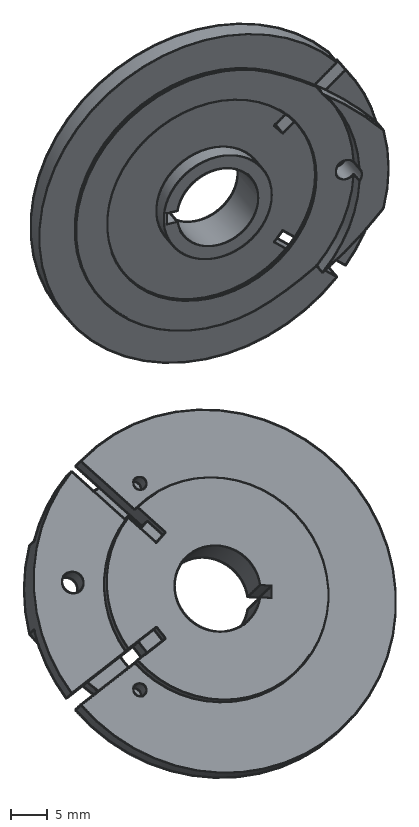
import cadquery as cq
import math

hub_front = 0.0
flange_front = 1.5
flange_back = 4.5
ring_back = 5.0
back_face = 7.0

flange_radius = 25.3
hub_radius = 15.5
boss_radius = 8.0
bore_diameter = 12.0
ring_inner_radius = hub_radius
ring_outer_radius = 20.1

lobe_flank_radius = 50.0
lobe_tangent_angle = 64.5
pad_inner_radius = 21.0

keyway_reach = 7.55
keyway_width = 1.7

slot_angle = 40.0
slot_width = 2.0
hub_slot_inner = 10.35
flange_slot_inner = 13.15
slot_overrun = 2.55
slot_outer = flange_radius + slot_overrun

pin_hole_diameter = 3.0
pin_hole_distance = 19.85
small_hole_radius = 0.9
small_hole_distance = 17.85
small_hole_angle = 54.0


def plane_at(x):
    """Sketch plane facing +X, with local x along Y and local y along Z."""
    return cq.Workplane("YZ", origin=(x, 0, 0))


def polar(radius, angle):
    """Point (Y, Z) at an angle in degrees from +Y."""
    return radius * math.cos(math.radians(angle)), radius * math.sin(math.radians(angle))


def disc(radius, start, end, center=(0, 0)):
    """Cylinder along X between two stations, centered on a (Y, Z) point."""
    return plane_at(start).center(*center).circle(radius).extrude(end - start)


def lobe(start, end):
    """Part of the flange disc inside both flanks, on the +Y side of the tangent points."""
    center_distance = lobe_flank_radius - ring_outer_radius
    outline = disc(flange_radius, start, end)
    for side in (1, -1):
        center = polar(-center_distance, side * lobe_tangent_angle)
        outline = outline.intersect(disc(lobe_flank_radius, start, end, center))
    tangent_y = polar(ring_outer_radius, lobe_tangent_angle)[0]
    lobe_side = (
        plane_at(start)
        .center(tangent_y + flange_radius, 0)
        .rect(2 * flange_radius, 2 * flange_radius)
        .extrude(end - start)
    )
    return outline.intersect(lobe_side)


def radial_slot(inner, start, end, angle):
    """Square-ended slot running outward from the inner distance past the rim."""
    return (
        plane_at(start)
        .center((inner + slot_outer) / 2, 0)
        .rect(slot_outer - inner, slot_width)
        .extrude(end - start)
        .rotate((0, 0, 0), (1, 0, 0), angle)
    )


body = disc(hub_radius, hub_front, flange_front)
body = body.union(disc(flange_radius, flange_front, flange_back))
for side in (1, -1):
    body = body.cut(radial_slot(hub_slot_inner, hub_front, flange_front, side * slot_angle))
    body = body.cut(radial_slot(flange_slot_inner, flange_front, flange_back, side * slot_angle))
    small_hole_center = polar(small_hole_distance, side * small_hole_angle)
    body = body.cut(disc(small_hole_radius, flange_front, flange_back, small_hole_center))

ring = disc(ring_outer_radius, flange_back, ring_back).union(lobe(flange_back, ring_back))
ring = ring.cut(disc(ring_inner_radius, flange_back, ring_back))
pad = lobe(ring_back, back_face).cut(disc(pad_inner_radius, ring_back, back_face))
boss = disc(boss_radius, flange_back, back_face)
body = body.union(ring).union(pad).union(boss)

keyway = (
    plane_at(hub_front)
    .center(-keyway_reach / 2, 0)
    .rect(keyway_reach, keyway_width)
    .extrude(back_face - hub_front)
)
body = body.cut(disc(bore_diameter / 2, hub_front, back_face)).cut(keyway)
result = body.cut(disc(pin_hole_diameter / 2, hub_front, back_face, (pin_hole_distance, 0)))